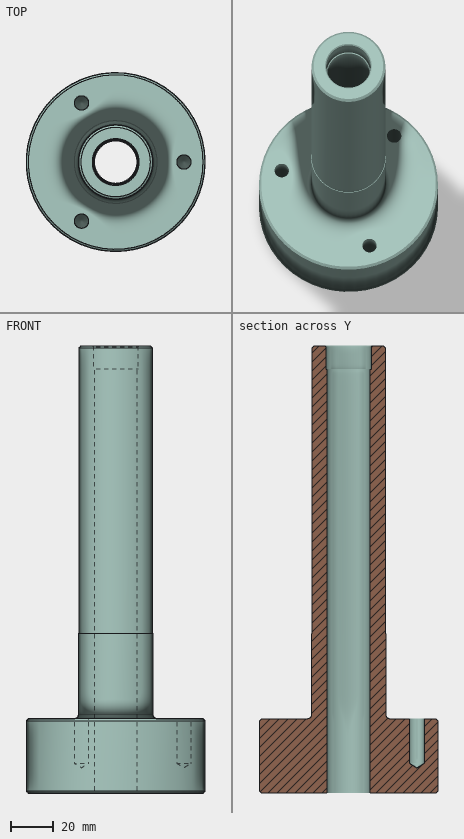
import cadquery as cq

total_height = 210.0

flange_diameter = 84.0
flange_height = 35.0
flange_chamfer = 1.0

shaft_diameter = 34.6
seat_diameter = 35.0
seat_top = 75.0
root_fillet = 1.9
tip_chamfer = 1.0

bore_diameter = 20.0
recess_diameter = 21.0
recess_depth = 11.0
recess_chamfer = 0.5

bolt_count = 3
bolt_circle_diameter = 64.0
bolt_hole_diameter = 6.7
bolt_hole_depth = 21.0
drill_point_depth = 2.0


def cylinder(diameter, bottom, top):
    """Upright cylinder on the part axis between two heights."""
    return cq.Workplane("XY").workplane(offset=bottom).circle(diameter / 2).extrude(top - bottom)


def make_flange():
    return cylinder(flange_diameter, 0, flange_height).edges().chamfer(flange_chamfer)


def make_stem():
    shaft = cylinder(shaft_diameter, seat_top, total_height).faces(">Z").edges().chamfer(tip_chamfer)
    return cylinder(seat_diameter, 0, seat_top).union(shaft)


def make_root_fillet():
    """Concave ring that blends the stem into the flange."""
    seat_radius = seat_diameter / 2
    blend_radius = seat_radius + root_fillet
    inset = root_fillet * (1 - 0.5 ** 0.5)
    return (
        cq.Workplane("XZ")
        .moveTo(0, flange_height)
        .lineTo(blend_radius, flange_height)
        .threePointArc((seat_radius + inset, flange_height + inset), (seat_radius, flange_height + root_fillet))
        .lineTo(0, flange_height + root_fillet)
        .close()
        .revolve(360, (0, 0, 0), (0, 1, 0))
    )


def make_bore():
    """Through bore with a counterbored recess and a chamfered mouth at the top."""
    recess_radius = recess_diameter / 2
    recess = cylinder(recess_diameter, total_height - recess_depth, total_height)
    mouth = (
        cq.Workplane("XY")
        .workplane(offset=total_height)
        .circle(recess_radius + recess_chamfer)
        .workplane(offset=-recess_chamfer)
        .circle(recess_radius)
        .loft()
    )
    return cylinder(bore_diameter, 0, total_height).union(recess).union(mouth)


def make_bolt_holes():
    """Ring of drilled holes, the first one on +X."""
    hole_radius = bolt_hole_diameter / 2
    drill = (
        cq.Workplane("XZ")
        .moveTo(0, flange_height)
        .lineTo(hole_radius, flange_height)
        .lineTo(hole_radius, flange_height - bolt_hole_depth)
        .lineTo(0, flange_height - bolt_hole_depth - drill_point_depth)
        .close()
        .revolve(360, (0, 0, 0), (0, 1, 0))
        .translate((bolt_circle_diameter / 2, 0, 0))
    )
    holes = cq.Workplane("XY")
    for index in range(bolt_count):
        holes = holes.add(drill.rotate((0, 0, 0), (0, 0, 1), index * 360 / bolt_count))
    return holes.combine()


body = make_flange().union(make_stem()).union(make_root_fillet())
result = body.cut(make_bore()).cut(make_bolt_holes())